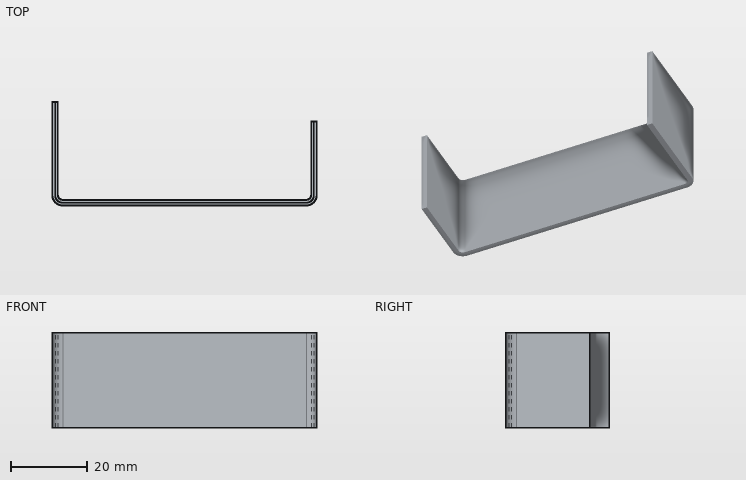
import cadquery as cq

width = 69.5
long_leg = 27.25
short_leg = 22.1
height = 25.0
sheet = 0.75
outer_bend_radius = 2.8


def u_strip(inset):
    """One bent strip whose outer face lies at the given inset."""
    outer_left = -width / 2 + inset
    outer_right = width / 2 - inset
    inner_left = outer_left + sheet
    inner_right = outer_right - sheet
    web_outer = inset
    web_inner = inset + sheet
    outer_radius = outer_bend_radius - inset
    inner_radius = outer_radius - sheet
    bend_y = outer_bend_radius
    left_bend_x = -width / 2 + outer_bend_radius
    right_bend_x = width / 2 - outer_bend_radius
    return (
        cq.Workplane("XY")
        .moveTo(outer_left, long_leg)
        .lineTo(outer_left, bend_y)
        .radiusArc((left_bend_x, web_outer), -outer_radius)
        .lineTo(right_bend_x, web_outer)
        .radiusArc((outer_right, bend_y), -outer_radius)
        .lineTo(outer_right, short_leg)
        .lineTo(inner_right, short_leg)
        .lineTo(inner_right, bend_y)
        .radiusArc((right_bend_x, web_inner), inner_radius)
        .lineTo(left_bend_x, web_inner)
        .radiusArc((inner_left, bend_y), inner_radius)
        .lineTo(inner_left, long_leg)
        .close()
        .extrude(height)
    )


outer_strip = u_strip(0)
inner_strip = u_strip(sheet)

result = cq.Compound.makeCompound([outer_strip.val(), inner_strip.val()])